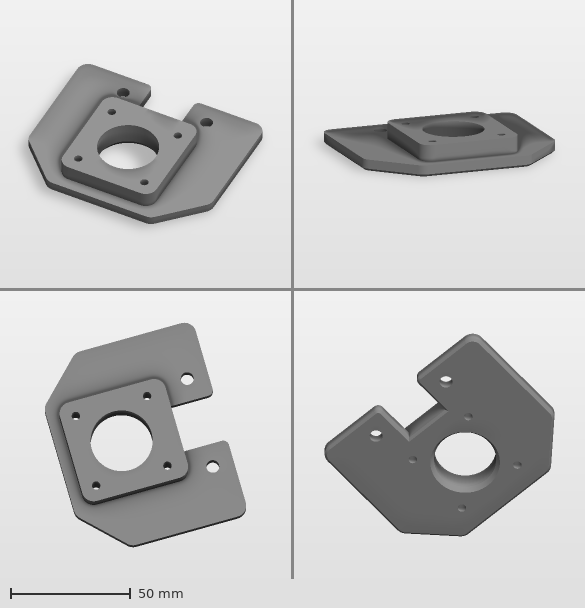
import cadquery as cq

plate_width = 86.0
plate_length = 70.0
plate_thickness = 5.0
corner_cut = 19.0
corner_radius = 5.0
bottom_chamfer = 1.0

slot_width = 20.0
slot_depth = 19.2
slot_mouth_radius = 2.5

total_height = 12.0
boss_width = 43.8
boss_front = 5.0
boss_back = plate_length - slot_depth
boss_length = boss_back - boss_front
boss_radius = 5.0

bore_diameter = 26.0
bore_y = 26.9
bore_flare_depth = 2.5
bore_flare_width = 1.55
screw_diameter = 3.5
screw_spacing = 31.0
mount_diameter = 5.4
mount_spacing = 39.05
mount_edge_distance = 9.0


def make_plate():
    """Plate with cut front corners, a back slot and a chamfered bottom edge."""
    half_width = plate_width / 2
    half_front = half_width - corner_cut
    half_slot = slot_width / 2
    slot_end = plate_length - slot_depth
    plate = (
        cq.Workplane("XY")
        .moveTo(-half_front, 0)
        .lineTo(half_front, 0)
        .lineTo(half_width, corner_cut)
        .lineTo(half_width, plate_length)
        .lineTo(half_slot, plate_length)
        .lineTo(half_slot, slot_end)
        .lineTo(-half_slot, slot_end)
        .lineTo(-half_slot, plate_length)
        .lineTo(-half_width, plate_length)
        .lineTo(-half_width, corner_cut)
        .close()
        .extrude(plate_thickness)
    )

    front_corners = cq.selectors.BoxSelector(
        (-plate_width, -0.9, -0.9), (plate_width, corner_cut + 0.9, total_height)
    )
    slot_mouth = cq.selectors.BoxSelector(
        (-half_slot - 0.9, plate_length - 0.9, -0.9), (half_slot + 0.9, plate_length + 0.9, total_height)
    )
    plate = plate.edges("|Z").edges(front_corners).fillet(corner_radius)
    plate = plate.edges("|Z").edges(slot_mouth).fillet(slot_mouth_radius)
    plate = plate.edges("|Z and (<X or >X)").edges(">Y").fillet(corner_radius)

    return plate.faces("<Z").edges().chamfer(bottom_chamfer)


def make_boss():
    """Rounded rectangular boss standing on the plate."""
    boss_center_y = (boss_front + boss_back) / 2
    return (
        cq.Workplane("XY", origin=(0, boss_center_y, plate_thickness))
        .rect(boss_width, boss_length)
        .extrude(total_height - plate_thickness)
        .edges("|Z")
        .fillet(boss_radius)
    )


def make_bore():
    """Cutter for the central bore, which flares out towards the underside."""
    bore_radius = bore_diameter / 2
    return (
        cq.Workplane("XZ", origin=(0, bore_y, 0))
        .lineTo(bore_radius + bore_flare_width, 0)
        .lineTo(bore_radius, bore_flare_depth)
        .lineTo(bore_radius, total_height)
        .lineTo(0, total_height)
        .close()
        .revolve(360, (0, 0, 0), (0, 1, 0))
    )


def make_fastener_holes():
    """Cutters for the four boss screws and the two plate mounting holes."""
    screws = (
        cq.Workplane("XY")
        .center(0, bore_y)
        .rect(screw_spacing, screw_spacing, forConstruction=True)
        .vertices()
        .circle(screw_diameter / 2)
        .extrude(total_height)
    )
    mount_y = plate_length - mount_edge_distance
    mounts = (
        cq.Workplane("XY")
        .pushPoints([(side * mount_spacing / 2, mount_y) for side in (-1, 1)])
        .circle(mount_diameter / 2)
        .extrude(plate_thickness)
    )
    return screws.union(mounts)


result = make_plate().union(make_boss()).cut(make_bore()).cut(make_fastener_holes())